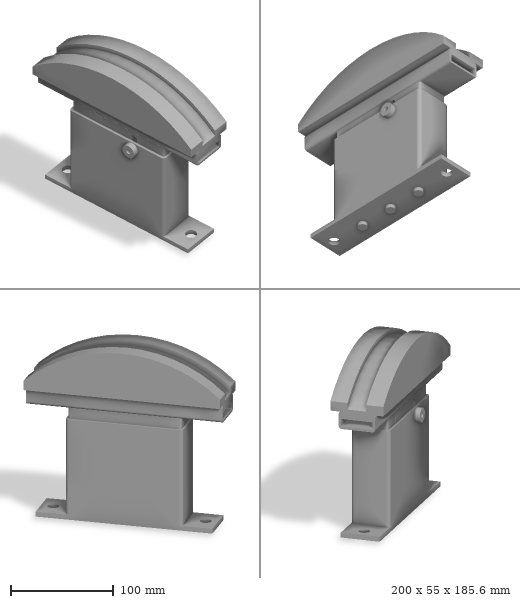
import cadquery as cq
import math


base_length = 180.0
base_thickness = 5.0
mount_hole_diameter = 11.5
mount_hole_edge_distance = 12.5

pin_diameter = 10.0
pin_height = 4.0
pin_count = 3
pin_pitch = 38.5

housing_length = 119.5
housing_width = 40.5
housing_height = 99.8
housing_corner_radius = 3.8

column_length = 115.5
column_width = 35.2
column_height = 11.0
column_corner_radius = 2.5

plate_length = 15.5
plate_height = 9.0
plate_thickness = 0.2
plate_center_x = -29.0

screw_x = 19.5
slot_width = 8.2
slot_height_above_rim = 7.2
slot_depth = 5.0
screw_head_diameter = 14.8
screw_head_height = 6.0
screw_head_drop = 8.0
screw_socket_diameter = 5.2
screw_socket_depth = 3.0

rail_width = 37.8
rail_height = 17.8
rail_wall = 2.5
rail_outer_radius = 3.0
rail_inner_radius = 1.2
rail_opening = 21.5

pad_length = 200.0
pad_width = 55.0
pad_end_height = 9.8
pad_arc_radius = 150.0
groove_width = 19.2
groove_depth = 5.0
foot_height = 7.5

housing_top = base_thickness + housing_height
rail_bottom = housing_top + column_height
rail_top = rail_bottom + rail_height
pad_arc_center_z = rail_top + pad_end_height - math.sqrt(pad_arc_radius**2 - (pad_length / 2) ** 2)
rail_cavity_width = rail_width - 2 * rail_wall
rail_cavity_height = rail_height - 2 * rail_wall


def block(length, width, height, bottom):
    """Box centred on X and Y, standing on the given level."""
    return cq.Workplane("XY", origin=(0, 0, bottom)).box(length, width, height, centered=(True, True, False))


def front_plane(x, y, z):
    """Sketch plane facing -Y."""
    return cq.Workplane("XZ", origin=(x, y, z))


def make_base():
    hole_x = base_length / 2 - mount_hole_edge_distance
    plate = block(base_length, housing_width, base_thickness, 0)
    plate = plate.faces(">Z").workplane().pushPoints([(-hole_x, 0), (hole_x, 0)]).hole(mount_hole_diameter)
    pins = (
        cq.Workplane("XY")
        .rarray(pin_pitch, 2, pin_count, 1)
        .circle(pin_diameter / 2)
        .extrude(-pin_height)
    )
    return plate.union(pins)


def make_housing():
    housing = block(housing_length, housing_width, housing_height, base_thickness)
    return housing.edges("|Z").fillet(housing_corner_radius)


def make_column():
    front_y = -column_width / 2
    column = block(column_length, column_width, column_height, housing_top)
    column = column.edges("|Z").fillet(column_corner_radius)

    plate = (
        front_plane(plate_center_x, front_y, housing_top + plate_height / 2)
        .rect(plate_length, plate_height)
        .extrude(plate_thickness)
    )
    return column.union(plate)


def make_slot():
    """Slot running down inside the housing from above its rim to behind the screw."""
    slot_top = housing_top + slot_height_above_rim
    slot_bottom = housing_top - screw_head_drop - slot_width / 2
    return (
        front_plane(screw_x, -column_width / 2, (slot_top + slot_bottom) / 2)
        .slot2D(slot_top - slot_bottom, slot_width, 90)
        .extrude(-slot_depth)
    )


def make_screw_head():
    head = (
        front_plane(screw_x, -housing_width / 2, housing_top - screw_head_drop)
        .circle(screw_head_diameter / 2)
        .extrude(screw_head_height)
    )
    return head.faces("<Y").workplane().hole(screw_socket_diameter, screw_socket_depth)


def make_rail():
    rail = block(pad_length, rail_width, rail_height, rail_bottom).edges("|X").fillet(rail_outer_radius)
    cavity = block(pad_length, rail_cavity_width, rail_cavity_height, rail_bottom + rail_wall)
    cavity = cavity.edges("|X").fillet(rail_inner_radius)
    opening = block(pad_length, rail_opening, 2 * rail_wall, rail_top - 2 * rail_wall)
    return rail.cut(cavity).cut(opening)


def arched_profile(radius, width, bottom):
    """Solid with a flat bottom and a top arc about the common arc centre."""
    half_length = pad_length / 2
    end_z = pad_arc_center_z + math.sqrt(radius**2 - half_length**2)
    return (
        front_plane(0, width / 2, 0)
        .moveTo(-half_length, bottom)
        .lineTo(-half_length, end_z)
        .threePointArc((0, pad_arc_center_z + radius), (half_length, end_z))
        .lineTo(half_length, bottom)
        .close()
        .extrude(width)
    )


def make_pad():
    cheeks = arched_profile(pad_arc_radius, pad_width, rail_top)
    groove = block(pad_length, groove_width, pad_arc_radius, rail_top)
    core = arched_profile(pad_arc_radius - groove_depth, groove_width, rail_top)

    neck = block(pad_length, rail_opening, foot_height, rail_top - foot_height)
    flange_height = foot_height - rail_wall
    flange = block(pad_length, rail_cavity_width, flange_height, rail_top - foot_height)
    flange = flange.edges("|X and >Z").fillet(rail_inner_radius)
    return cheeks.cut(groove).union(core).union(neck).union(flange)


result = (
    make_base()
    .union(make_housing())
    .union(make_column())
    .cut(make_slot())
    .union(make_screw_head())
    .union(make_rail())
    .union(make_pad())
    .clean()
)